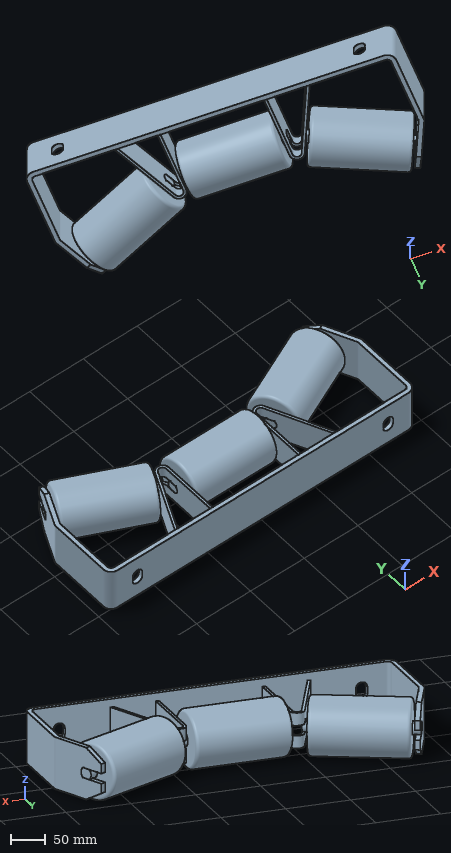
import cadquery as cq
import math

OVERALL_WIDTH = 570.0

BRACKET_HEIGHT = 80.0
BRACKET_THICKNESS = 8.0
CORNER_RADIUS = 14.0
ARM_BEND_RADIUS = 12.0
ARM_TIP_REACH = 30.0
ARM_TIP_CHAMFER_ANGLE = 30.0
MOUNT_SLOT_X = 233.0
MOUNT_SLOT_LENGTH = 26.0
MOUNT_SLOT_WIDTH = 17.5

SUPPORT_HEIGHT = 55.0
SUPPORT_THICKNESS = 4.5
SUPPORT_BEND_RADIUS = 11.5

ROLLER_DIAMETER = 89.0
ROLLER_LENGTH = 150.0
ROLLER_EDGE_RADIUS = 5.0
SHAFT_DIAMETER = 20.0
SHAFT_FLATS = 15.5
SHOULDER_GAP = 1.5
SEAT = 80.0
MIDDLE_ROLLER_Y = 101.5
OUTER_ROLLER_X = 179.0
OUTER_ROLLER_Y = 143.5
TILT = 25.0

HALF_WIDTH = OVERALL_WIDTH / 2
COS_TILT = math.cos(math.radians(TILT))
SIN_TILT = math.sin(math.radians(TILT))
ARM_OUTER_FACE = SEAT + BRACKET_THICKNESS
ARM_TIP_DROP = ARM_TIP_REACH * math.tan(math.radians(ARM_TIP_CHAMFER_ANGLE))


def tilted(along, across):
    """XY point given along and across the axis of the left outer roller."""
    x = -OUTER_ROLLER_X + along * COS_TILT + across * SIN_TILT
    y = OUTER_ROLLER_Y - along * SIN_TILT + across * COS_TILT
    return (x, y)


def tilted_face_at_x(along, x):
    """Point with the given X on a face square to the left outer roller axis."""
    across = (x + OUTER_ROLLER_X - along * COS_TILT) / SIN_TILT
    return tilted(along, across)


def tilted_face_at_y(along, y):
    """Point with the given Y on a face square to the left outer roller axis."""
    across = (y - OUTER_ROLLER_Y + along * SIN_TILT) / COS_TILT
    return tilted(along, across)


def place_left(body):
    """Move a body from the origin, axis along X, to the left outer roller position."""
    return body.rotate((0, 0, 0), (0, 0, 1), -TILT).translate((-OUTER_ROLLER_X, OUTER_ROLLER_Y, 0))


def place_middle(body):
    """Move a body from the origin, axis along X, to the middle roller position."""
    return body.translate((0, MIDDLE_ROLLER_Y, 0))


def both_sides(left_body):
    """The left-hand body and its mirror image."""
    return [left_body, left_body.mirror("YZ")]


def round_bar(diameter, length):
    """Cylinder along X, centred on the origin."""
    return cq.Workplane("YZ").workplane(offset=-length / 2).circle(diameter / 2).extrude(length)


def flatted_shaft(start, end):
    """Shaft length along X with two flats facing up and down."""
    shaft = cq.Workplane("YZ").workplane(offset=start).circle(SHAFT_DIAMETER / 2).extrude(end - start)
    flats = cq.Workplane("XY").box(2 * max(abs(start), abs(end)), SHAFT_DIAMETER, SHAFT_FLATS)
    return shaft.intersect(flats)


def roller(left_end, right_end):
    """Roller on its shaft; the flatted shaft ends reach the given X positions."""
    shell = round_bar(ROLLER_DIAMETER, ROLLER_LENGTH).edges("%CIRCLE").fillet(ROLLER_EDGE_RADIUS)
    shaft = round_bar(SHAFT_DIAMETER, 2 * (SEAT - SHOULDER_GAP))
    return shell.union(shaft).union(flatted_shaft(left_end, right_end))


def shaft_slot(start, end):
    """Cutter for a slot that fits the shaft flats and opens toward +Y."""
    open_length = ROLLER_DIAMETER / 2
    mouth = cq.Workplane("XY").box(end - start, open_length, SHAFT_FLATS, centered=(False, False, True))
    return mouth.translate((start, 0, 0)).union(flatted_shaft(start, end))


def left_half_outline():
    """Sharp-cornered plan of the left half of the bracket."""
    side_inner_x = -HALF_WIDTH + BRACKET_THICKNESS
    return [
        (0, 0),
        (-HALF_WIDTH, 0),
        tilted_face_at_x(-ARM_OUTER_FACE, -HALF_WIDTH),
        tilted(-ARM_OUTER_FACE, ARM_TIP_REACH),
        tilted(-SEAT, ARM_TIP_REACH),
        tilted_face_at_x(-SEAT, side_inner_x),
        (side_inner_x, BRACKET_THICKNESS),
        (0, BRACKET_THICKNESS),
    ]


def arm_tip_chamfers():
    """Cutters that taper the tip of the left arm above and below."""
    half_height = BRACKET_HEIGHT / 2
    corner = [
        (0, half_height),
        (ARM_TIP_REACH, half_height),
        (ARM_TIP_REACH, half_height - ARM_TIP_DROP),
    ]
    upper = cq.Workplane("YZ").workplane(offset=-ARM_OUTER_FACE).polyline(corner).close()
    upper = upper.extrude(BRACKET_THICKNESS)
    return place_left(upper.union(upper.mirror("XY")))


def bracket_half():
    outline = left_half_outline()
    half = cq.Workplane("XY").polyline(outline).close().extrude(BRACKET_HEIGHT / 2, both=True)
    bends = [
        (outline[1], CORNER_RADIUS),
        (outline[2], ARM_BEND_RADIUS),
        (outline[5], ARM_BEND_RADIUS - BRACKET_THICKNESS),
        (outline[6], CORNER_RADIUS - BRACKET_THICKNESS),
    ]
    for (x, y), radius in bends:
        half = half.edges("|Z").edges(cq.NearestToPointSelector((x, y, 0))).fillet(radius)

    half = half.cut(arm_tip_chamfers())
    half = half.cut(place_left(shaft_slot(-ARM_OUTER_FACE, -SEAT)))

    mount_slot = cq.Workplane("XZ").center(-MOUNT_SLOT_X, 0)
    mount_slot = mount_slot.slot2D(MOUNT_SLOT_LENGTH, MOUNT_SLOT_WIDTH, 90).extrude(-BRACKET_THICKNESS)
    return half.cut(mount_slot)


def bracket():
    left, right = both_sides(bracket_half())
    return left.union(right)


def left_support():
    """Strip folded over between the left and middle rollers, both feet on the back plate."""
    foot_y = BRACKET_THICKNESS
    inner_radius = SUPPORT_BEND_RADIUS - SUPPORT_THICKNESS

    centre_x = -SEAT - SUPPORT_BEND_RADIUS
    centre_y = tilted_face_at_x(SEAT + SUPPORT_BEND_RADIUS, centre_x)[1]

    def on_bend(radius, degrees):
        angle = math.radians(degrees)
        return (centre_x + radius * math.cos(angle), centre_y + radius * math.sin(angle))

    bend_end = 180 - TILT
    bend_middle = bend_end / 2
    support = (
        cq.Workplane("XY")
        .moveTo(-SEAT, foot_y)
        .lineTo(*on_bend(SUPPORT_BEND_RADIUS, 0))
        .threePointArc(on_bend(SUPPORT_BEND_RADIUS, bend_middle), on_bend(SUPPORT_BEND_RADIUS, bend_end))
        .lineTo(*tilted_face_at_y(SEAT, foot_y))
        .lineTo(*tilted_face_at_y(SEAT + SUPPORT_THICKNESS, foot_y))
        .lineTo(*on_bend(inner_radius, bend_end))
        .threePointArc(on_bend(inner_radius, bend_middle), on_bend(inner_radius, 0))
        .lineTo(-SEAT - SUPPORT_THICKNESS, foot_y)
        .close()
        .extrude(SUPPORT_HEIGHT / 2, both=True)
    )

    slot_end = SEAT + SUPPORT_BEND_RADIUS
    support = support.cut(place_middle(shaft_slot(-slot_end, -SEAT)))
    return support.cut(place_left(shaft_slot(SEAT, slot_end)))


support_shaft_end = SEAT + SUPPORT_THICKNESS

frame = bracket()
supports = both_sides(left_support())
middle_roller = place_middle(roller(-support_shaft_end, support_shaft_end))
outer_rollers = both_sides(place_left(roller(-ARM_OUTER_FACE, support_shaft_end)))

result = cq.Compound.makeCompound([
    frame.val(),
    *[support.val() for support in supports],
    middle_roller.val(),
    *[outer_roller.val() for outer_roller in outer_rollers],
])